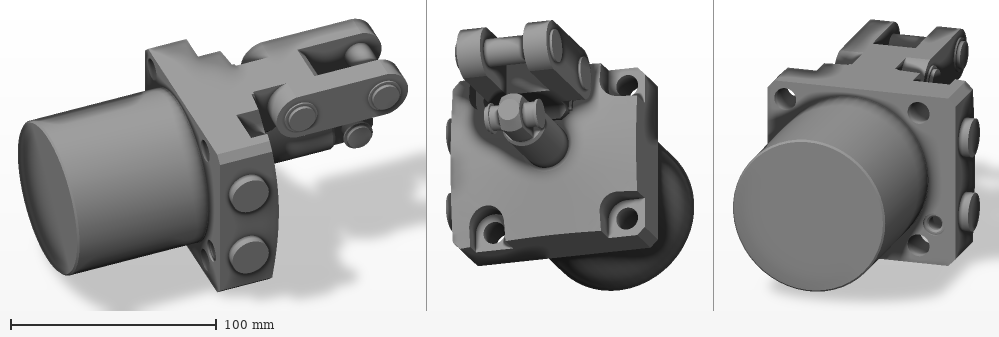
import cadquery as cq
import math


flange_half = 43.0
flange_right = 53.0
flange_corner = 3.8
barrel_radius = 38.9
barrel_length = 69.0
barrel_chamfer = 0.9
collar_radius = 39.0
collar_length = 0.7
nose_height = 41.5
nose_radius = 13.0
nose_slope = 15

hole_offset = 34.0
hole_radius = 5.5
seat_radius = 9.5
seat_height = 20.2

port_offset = 19.0
port_height = 14.0
port_radius = 9.5
port_length = 4.9
vent_x = 42.0
vent_z = -22.5
vent_seat_radius = 5.5
vent_seat_depth = 1.0
vent_bore_radius = 3.5
vent_bore_depth = 9.0
vent_chamfer = 0.9

link_half_height = 12.5
link_end_radius = 12.6
link_pitch = 44.0
link_thickness = 12.0
link_z = flange_half - link_half_height
front_pin_y = 98.5
rear_pin_y = front_pin_y - link_pitch
pin_radius = 6.8
pin_head_radius = 8.1
pin_head_length = 1.3
ring_radius = 8.5
ring_thickness = 0.9
pin_tail_length = 2.7

lug_half_width = 11.0
lug_end = 70.2
lug_chamfer = 3.5
foot_end = 43.5
foot_z = 12.8
foot_chamfer = 3.5
pad_half_width = 12.5
pad_top_y = 34.4
pad_bottom = 17.6
link_outer_x = lug_half_width + link_thickness

rod_radius = 11.2
rod_taper_start = 76.5
rod_taper_end = 78.7
flats_start = 78.1
eye_radius = 9.7
rod_end = 99.9
tip_radius = 5.4
tip_length = 4.7
eye_half_width = 5.4
eye_pin_y = 89.3
eye_pin_radius = 6.1
eye_pin_head_radius = 7.2
eye_pin_ring_radius = 7.5
eye_pin_half_length = 11.5


def disc(radius, y_start, length):
    """Disc on the main axis, reaching from y_start toward +Y."""
    return cq.Workplane("XZ", origin=(0, y_start, 0)).circle(radius).extrude(-length)


def cross_disc(radius, x_start, length, y, z):
    """Disc with its axis along X, reaching from x_start toward +X."""
    return cq.Workplane("YZ", origin=(x_start, 0, 0)).center(y, z).circle(radius).extrude(length)


def headed_pin(radius, head_radius, snap_radius, half_length, y, z):
    """Pin along X with a head at -X and a snap ring near its +X end."""
    shank = cross_disc(radius, -half_length, 2 * half_length + pin_tail_length, y, z)
    head = cross_disc(head_radius, -half_length - pin_head_length, pin_head_length, y, z)
    ring = cross_disc(snap_radius, half_length, ring_thickness, y, z)
    return shank.union(head).union(ring)


def flange():
    """Flange with chamfered corners, whose front is a shallow cone around a flat nose."""
    width = flange_half + flange_right
    block = (
        cq.Workplane("XZ")
        .center((flange_right - flange_half) / 2, 0)
        .rect(width, 2 * flange_half)
        .extrude(-nose_height)
        .edges("|Y")
        .chamfer(flange_corner)
    )
    cone_radius = nose_radius + nose_height / math.tan(math.radians(nose_slope))
    cone = (
        cq.Workplane("XY")
        .polyline([(0, 0), (cone_radius, 0), (nose_radius, nose_height), (0, nose_height)])
        .close()
        .revolve(360, (0, 0, 0), (0, 1, 0))
    )
    return block.intersect(cone)


def lug():
    """Central lug along the top of the flange, with a rounded root and a narrowing foot over the rod."""
    bottom = link_z - link_half_height
    root_radius = bottom - foot_z
    side = (
        cq.Workplane("YZ", origin=(-lug_half_width, 0, 0))
        .moveTo(seat_height, flange_half)
        .lineTo(lug_end - lug_chamfer, flange_half)
        .lineTo(lug_end, flange_half - lug_chamfer)
        .lineTo(lug_end, bottom)
        .lineTo(foot_end + root_radius, bottom)
        .radiusArc((foot_end, foot_z), -root_radius)
        .lineTo(seat_height, foot_z)
        .close()
        .extrude(2 * lug_half_width)
    )
    foot_half_width = lug_half_width - foot_chamfer
    section = (
        cq.Workplane("XZ")
        .moveTo(-lug_half_width, flange_half)
        .lineTo(lug_half_width, flange_half)
        .lineTo(lug_half_width, foot_z + foot_chamfer)
        .lineTo(foot_half_width, foot_z)
        .lineTo(-foot_half_width, foot_z)
        .lineTo(-lug_half_width, foot_z + foot_chamfer)
        .close()
        .extrude(-lug_end)
    )
    return side.intersect(section)


def lug_pad():
    """Slightly wider pad at the lug root, its front sloping like the flange cone."""
    rise = (flange_half - pad_bottom) * math.tan(math.radians(nose_slope))
    return (
        cq.Workplane("YZ", origin=(-pad_half_width, 0, 0))
        .moveTo(seat_height, flange_half)
        .lineTo(pad_top_y, flange_half)
        .lineTo(pad_top_y + rise, pad_bottom)
        .lineTo(seat_height, pad_bottom)
        .close()
        .extrude(2 * pad_half_width)
    )


def seat_block(x_start, x_end, z_start, z_end):
    """Block that clears everything in front of the bolt seat level."""
    center = ((x_start + x_end) / 2, (z_start + z_end) / 2)
    plane = cq.Workplane("XZ", origin=(0, seat_height, 0)).center(*center)
    return plane.rect(x_end - x_start, z_end - z_start).extrude(seat_height - nose_height)


def bolt_seat(x, side):
    """Round-bottomed seat open at the top (side 1) or bottom (side -1); left ones also open to -X."""
    z = side * hole_offset
    edge = side * flange_half
    seat = disc(seat_radius, seat_height, nose_height - seat_height).translate((x, 0, z))
    seat = seat.union(seat_block(x - seat_radius, x + seat_radius, *sorted((z, edge))))
    if x < 0:
        inner = z - side * seat_radius
        seat = seat.union(seat_block(-flange_half, x, *sorted((inner, edge))))
    return seat


def piston_rod():
    """Rod with a flattened eye at its tip, and the pin through the eye."""
    rod_profile = [
        (0, 0),
        (rod_radius, 0),
        (rod_radius, rod_taper_start),
        (eye_radius, rod_taper_end),
        (eye_radius, rod_end - tip_length),
        (tip_radius, rod_end),
        (0, rod_end),
    ]
    rod = cq.Workplane("XY").polyline(rod_profile).close().revolve(360, (0, 0, 0), (0, 1, 0))
    flat_length = rod_end - flats_start
    for side in (-1, 1):
        flat_x = side * (eye_half_width + rod_radius / 2)
        flat = cq.Workplane("XY").box(rod_radius, flat_length, 2 * rod_radius)
        rod = rod.cut(flat.translate((flat_x, flats_start + flat_length / 2, 0)))
    pin = headed_pin(
        eye_pin_radius, eye_pin_head_radius, eye_pin_ring_radius, eye_pin_half_length, eye_pin_y, 0
    )
    return rod.union(pin)


def barrel():
    """Plain barrel with a thin locating collar against the flange."""
    tube = disc(barrel_radius, -barrel_length, barrel_length).faces("<Y").chamfer(barrel_chamfer)
    return tube.union(disc(collar_radius, -collar_length, collar_length))


def vent_port():
    """Vent bore with a seal seat, cut into the rear face of the flange."""
    countersink_radius = vent_bore_radius + vent_chamfer
    bore_profile = [
        (0, 0),
        (vent_seat_radius, 0),
        (vent_seat_radius, vent_seat_depth),
        (countersink_radius, vent_seat_depth),
        (vent_bore_radius, vent_seat_depth + vent_chamfer),
        (vent_bore_radius, vent_bore_depth),
        (0, vent_bore_depth),
    ]
    bore = cq.Workplane("XY").polyline(bore_profile).close().revolve(360, (0, 0, 0), (0, 1, 0))
    return bore.translate((vent_x, 0, vent_z))


def build_cylinder():
    """Cylinder body in one piece: flange, barrel, ports, lug and rod."""
    part = flange().union(lug()).union(lug_pad())
    part = part.union(barrel())
    for z in (-port_offset, port_offset):
        part = part.union(cross_disc(port_radius, flange_right, port_length, port_height, z))
    for x in (-hole_offset, hole_offset):
        for side in (-1, 1):
            hole = disc(hole_radius, 0, nose_height).translate((x, 0, side * hole_offset))
            part = part.cut(bolt_seat(x, side)).cut(hole)
    part = part.cut(vent_port())
    rear_pin_hole = cross_disc(pin_radius, -lug_half_width, 2 * lug_half_width, rear_pin_y, link_z)
    return part.cut(rear_pin_hole).union(piston_rod())


def build_link(x_start):
    """Round-ended link plate with a hole for each pin."""
    plane = cq.Workplane("YZ", origin=(x_start, 0, 0)).center((front_pin_y + rear_pin_y) / 2, link_z)
    length = link_pitch + 2 * link_end_radius
    plate = plane.slot2D(length, 2 * link_end_radius).extrude(link_thickness)
    plate = plate.intersect(plane.rect(length, 2 * link_half_height).extrude(link_thickness))
    holes = plane.pushPoints([(-link_pitch / 2, 0), (link_pitch / 2, 0)]).circle(pin_radius)
    return plate.cut(holes.extrude(link_thickness))


cylinder = build_cylinder()
links = []
for x_start in (-link_outer_x, lug_half_width):
    links.append(build_link(x_start))
link_pins = []
for y in (rear_pin_y, front_pin_y):
    link_pins.append(headed_pin(pin_radius, pin_head_radius, ring_radius, link_outer_x, y, link_z))

result = cq.Compound.makeCompound([body.val() for body in [cylinder, *links, *link_pins]])